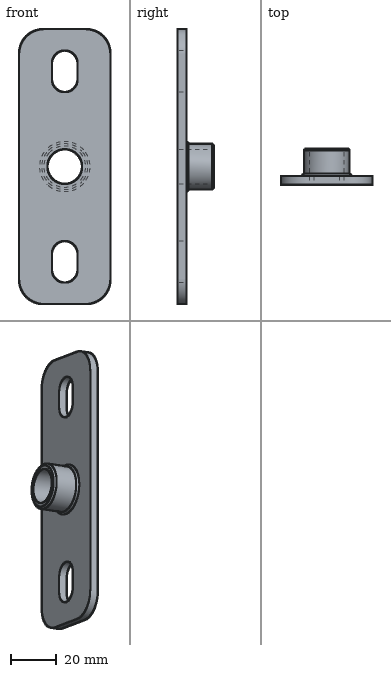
import cadquery as cq

plate_width = 40.0
plate_height = 120.0
plate_thickness = 4.0
corner_radius = 10.8

slot_width = 11.0
slot_length = 18.0
slot_offset = 41.5

overall_depth = 16.0
boss_diameter = 20.0
bore_diameter = 15.0
boss_chamfer = 1.0
weld_size = 1.0


def make_plate():
    """Rounded plate with one slot above and one below the centre."""
    plate = (
        cq.Workplane("XY")
        .box(plate_width, plate_thickness, plate_height, centered=(True, False, True))
        .edges("|Y")
        .fillet(corner_radius)
    )
    slots = (
        cq.Workplane("XZ")
        .pushPoints([(0, slot_offset), (0, -slot_offset)])
        .slot2D(slot_length, slot_width, 90)
        .extrude(-plate_thickness)
    )
    return plate.cut(slots)


def make_boss():
    """Boss revolved about Y: sloped weld at its foot, chamfer at its free end."""
    boss_radius = boss_diameter / 2
    return (
        cq.Workplane("XY")
        .moveTo(0, 0)
        .lineTo(boss_radius, 0)
        .lineTo(boss_radius + weld_size, plate_thickness)
        .lineTo(boss_radius, plate_thickness + weld_size)
        .lineTo(boss_radius, overall_depth - boss_chamfer)
        .lineTo(boss_radius - boss_chamfer, overall_depth)
        .lineTo(0, overall_depth)
        .close()
        .revolve(360, (0, 0, 0), (0, 1, 0))
    )


def make_bore():
    """Cylinder that opens the boss and the plate from front to back."""
    return cq.Workplane("XZ").circle(bore_diameter / 2).extrude(-overall_depth)


result = make_plate().union(make_boss()).cut(make_bore())